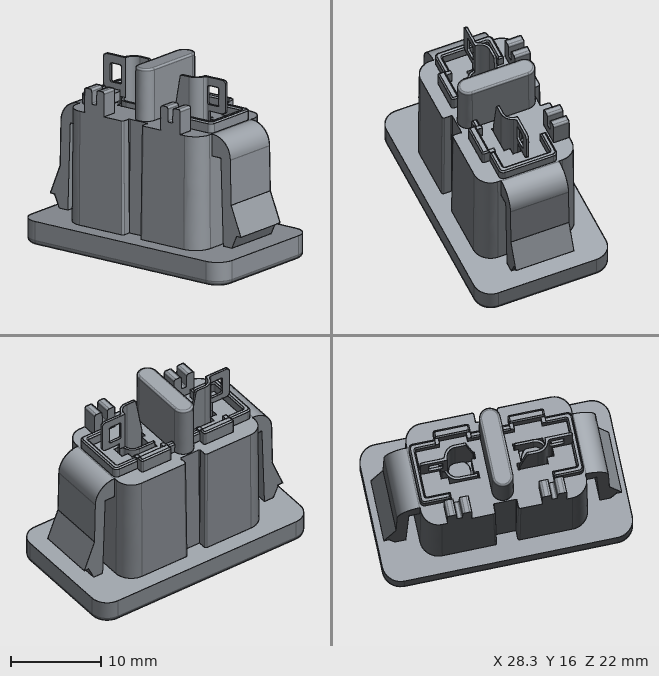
import cadquery as cq
import math

FLANGE_LENGTH = 28.3
FLANGE_WIDTH = 16.0
FLANGE_HEIGHT = 2.77
FLANGE_CORNER = 2.07
FLANGE_EDGE = 0.57

DRAFT = 0.5
BODY_LENGTH = 18.95
BODY_WIDTH = 12.03
BODY_TOP = 15.93
BODY_HEIGHT = BODY_TOP - FLANGE_HEIGHT
BODY_CORNER = 2.1
NOTCH_WIDTH = 2.4
NOTCH_DEPTH = 1.13
NOTCH_CORNER = 0.23

KEY_LENGTH = 9.23
KEY_THICKNESS = 2.4
KEY_TOP = 22.0
KEY_EDGE = 0.23

CLIP_WIDTH = 7.02
CLIP_BEND = 2.55
CLIP_TOP_X = 11.97
CLIP_KNEE = (12.08, 8.18)
CLIP_BARB_Z = 4.73
CLIP_BARB_X = 13.47
CLIP_BARB_ROOT_X = 12.88
CLIP_FOOT_Z = 3.23
CLIP_FOOT_OUTER_X = 12.2
CLIP_FOOT_INNER_X = 10.98
CLIP_ARM_INNER_X = 10.65
CLIP_ROOT_X = 8.77
CLIP_INNER_CORNER = 0.1

RIM_TOP = 17.15
RIM_OUTER_X = 9.25
RIM_BACK_Y = 3.5
RIM_FRONT_Y = -3.42
RIM_WALL = 0.68
RIM_CORNER = 0.55
RIM_INNER_CORNER = 0.17
RIM_END_X = 5.8
RIM_EDGE = 0.17

STOP_OUTER_X = 6.25
STOP_INNER_X = 2.2
STOP_BACK_Y = 4.4
STOP_TOP = 17.6
STOP_LEG_TOP = 17.32
STOP_LEG = STOP_OUTER_X - RIM_END_X
STOP_EDGE = 0.17
STOP_CORNER = 0.23

PRONG_X = 5.38
PRONG_WIDTH = 2.75
PRONG_BACK_Y = -4.0
PRONG_TOP = 18.8
PRONG_EDGE = 0.25
PRONG_SLOT_FLOOR = 17.06
PRONG_SLOT_FLOOR_WIDTH = 0.62
PRONG_SLOT_TOP_WIDTH = 0.74
PRONG_SLOT_CORNER = 0.15

POCKET_DEPTH = 2.25
POCKET_FLOOR = BODY_TOP - POCKET_DEPTH
POCKET_OUTER_X = 5.58
POCKET_INNER_X = 2.18
POCKET_HALF_WIDTH = 1.5
POCKET_STEP_HALF_WIDTH = 0.75
POCKET_STEP_OUTER_X = 6.4
POCKET_STEP_INNER_X = 2.65
PIN_X = 4.15
PIN_RADIUS = 1.27
PIN_HEIGHT = 0.57

SHEET = 0.28
FORK_X = 4.45
FORK_RADIUS = 1.4
FORK_END_X = 2.38
FORK_LOW_TOP = 16.5
FORK_BEND = 0.4
BLADE_OUTER_X = 8.63
BLADE_INNER_X = 3.23
BLADE_TOP = 21.1
BLADE_BOTTOM = 17.2
BLADE_FOOT_X = 6.3
BLADE_OUTER_CORNER = 0.45
BLADE_INNER_CORNER = 0.23
WINDOW_OUTER_X = 7.67
WINDOW_INNER_X = 6.08
WINDOW_TOP = 20.15
WINDOW_BOTTOM = 17.95
WINDOW_CORNER = 0.23


def block(x_range, y_range, z_range):
    """Box spanning the given X, Y and Z ranges."""
    (x0, x1), (y0, y1), (z0, z1) = x_range, y_range, z_range
    return cq.Workplane("XY").box(x1 - x0, y1 - y0, z1 - z0, centered=False).translate((x0, y0, z0))


def front_profile(points, y_min, y_max):
    """Closed XZ outline extruded from y_min to y_max."""
    return cq.Workplane("XZ", origin=(0, y_max, 0)).polyline(points).close().extrude(y_max - y_min)


def mirrored_pair(solid):
    """The given -X solid together with its mirror image on the +X side."""
    return solid.union(solid.mirror("YZ"))


def make_flange():
    return (
        cq.Workplane("XY")
        .box(FLANGE_LENGTH, FLANGE_WIDTH, FLANGE_HEIGHT, centered=(True, True, False))
        .edges("|Z").fillet(FLANGE_CORNER)
        .faces("<Z").edges().fillet(FLANGE_EDGE)
    )


def make_body(height):
    """Drafted housing with a notch in each long side, rising to the given height."""
    notch_y = BODY_WIDTH / 2 - NOTCH_DEPTH / 2
    outline = (
        cq.Sketch()
        .rect(BODY_LENGTH, BODY_WIDTH)
        .vertices().fillet(BODY_CORNER).reset()
        .push([(0, notch_y), (0, -notch_y)])
        .rect(NOTCH_WIDTH, NOTCH_DEPTH, mode="s").reset()
    )
    half_notch = NOTCH_WIDTH / 2 + NOTCH_CORNER
    body = cq.Workplane("XY", origin=(0, 0, FLANGE_HEIGHT)).placeSketch(outline)
    body = body.extrude(height, taper=DRAFT)
    notch_zone = cq.selectors.BoxSelector(
        (-half_notch, -BODY_WIDTH, FLANGE_HEIGHT), (half_notch, BODY_WIDTH, FLANGE_HEIGHT + height)
    )
    upright = body.edges(notch_zone).edges("not #Z").vals()
    return body.newObject(upright).fillet(NOTCH_CORNER)


def make_key():
    return (
        cq.Workplane("XY", origin=(0, 0, BODY_TOP))
        .slot2D(KEY_LENGTH, KEY_THICKNESS, 90)
        .extrude(KEY_TOP - BODY_TOP, taper=DRAFT)
        .faces(">Z").edges().fillet(KEY_EDGE)
    )


def make_clip():
    bend_x = CLIP_TOP_X - CLIP_BEND
    bend_z = BODY_TOP - CLIP_BEND
    diagonal = CLIP_BEND * math.sqrt(0.5)
    return (
        cq.Workplane("XZ")
        .moveTo(-CLIP_ROOT_X, BODY_TOP)
        .lineTo(-bend_x, BODY_TOP)
        .threePointArc((-bend_x - diagonal, bend_z + diagonal), (-CLIP_TOP_X, bend_z))
        .lineTo(-CLIP_KNEE[0], CLIP_KNEE[1])
        .lineTo(-CLIP_BARB_X, CLIP_BARB_Z)
        .lineTo(-CLIP_BARB_ROOT_X, CLIP_BARB_Z)
        .lineTo(-CLIP_FOOT_OUTER_X, CLIP_FOOT_Z)
        .lineTo(-CLIP_FOOT_INNER_X, CLIP_FOOT_Z)
        .lineTo(-CLIP_ARM_INNER_X, bend_z)
        .lineTo(-CLIP_ROOT_X, bend_z)
        .close()
        .extrude(CLIP_WIDTH / 2, both=True)
        .edges(cq.selectors.NearestToPointSelector((-CLIP_ARM_INNER_X, 0, bend_z)))
        .fillet(CLIP_INNER_CORNER)
    )


def make_rim():
    height = (BODY_TOP, RIM_TOP)
    inner_x = RIM_OUTER_X - RIM_WALL
    inner_y = (RIM_FRONT_Y + RIM_WALL, RIM_BACK_Y - RIM_WALL)
    outside = block((-RIM_OUTER_X, -RIM_END_X), (RIM_FRONT_Y, RIM_BACK_Y), height)
    inside = block((-inner_x, -RIM_END_X), inner_y, height)
    outside = outside.edges("|Z and <X").fillet(RIM_CORNER)
    inside = inside.edges("|Z and <X").fillet(RIM_INNER_CORNER)
    bracket = outside.cut(inside).faces(">Z").edges().chamfer(RIM_EDGE)
    joint = block((-STOP_INNER_X - STOP_LEG, 0), (inner_y[1], RIM_BACK_Y), height)
    joint = joint.faces(">Z").edges("|X").chamfer(RIM_EDGE)
    return bracket.union(joint)


def make_stop():
    stop = block((-STOP_OUTER_X, -STOP_INNER_X), (RIM_BACK_Y, STOP_BACK_Y), (BODY_TOP, STOP_TOP))
    stop = stop.edges("|Z and >Y").fillet(STOP_CORNER)
    stop = stop.faces(">Z").edges().chamfer(STOP_EDGE)
    for leg_x in (-STOP_OUTER_X, -STOP_INNER_X - STOP_LEG):
        leg_y = (RIM_BACK_Y - RIM_WALL, RIM_BACK_Y)
        stop = stop.union(block((leg_x, leg_x + STOP_LEG), leg_y, (BODY_TOP, STOP_LEG_TOP)))
    return stop


def make_prong():
    half_width = PRONG_WIDTH / 2
    half_floor = PRONG_SLOT_FLOOR_WIDTH / 2
    half_mouth = PRONG_SLOT_TOP_WIDTH / 2
    outline = [
        (-half_width, BODY_TOP),
        (-half_width, PRONG_TOP),
        (-half_mouth, PRONG_TOP),
        (-half_floor, PRONG_SLOT_FLOOR),
        (half_floor, PRONG_SLOT_FLOOR),
        (half_mouth, PRONG_TOP),
        (half_width, PRONG_TOP),
        (half_width, BODY_TOP),
    ]
    front_y = -BODY_WIDTH / 2
    prong = front_profile(outline, front_y, PRONG_BACK_Y)
    prong = prong.faces(">Z").edges("|Y").fillet(PRONG_EDGE)
    for side in (-1, 1):
        corner = (side * half_floor, (front_y + PRONG_BACK_Y) / 2, PRONG_SLOT_FLOOR)
        prong = prong.edges(cq.selectors.NearestToPointSelector(corner)).fillet(PRONG_SLOT_CORNER)
    return prong.translate((-PRONG_X, 0, 0)).intersect(make_body(PRONG_TOP - FLANGE_HEIGHT))


def make_pocket():
    depth = (POCKET_FLOOR, BODY_TOP)
    full_y = (-POCKET_HALF_WIDTH, POCKET_HALF_WIDTH)
    step_y = (-POCKET_STEP_HALF_WIDTH, POCKET_STEP_HALF_WIDTH)
    pocket = block((-POCKET_OUTER_X, -POCKET_INNER_X), full_y, depth)
    pocket = pocket.cut(block((-POCKET_STEP_INNER_X, -POCKET_INNER_X), step_y, depth))
    return pocket.union(block((-POCKET_STEP_OUTER_X, -POCKET_OUTER_X), step_y, depth))


def make_pin():
    return cq.Workplane("XY", origin=(-PIN_X, 0, POCKET_FLOOR)).circle(PIN_RADIUS).extrude(PIN_HEIGHT)


def make_blade_outline():
    """Side shape of the tall sheet: tab, sloped inner edge and foot in the pocket."""
    outline = [
        (-BLADE_FOOT_X, POCKET_FLOOR),
        (-BLADE_FOOT_X, BLADE_BOTTOM),
        (-BLADE_OUTER_X, BLADE_BOTTOM),
        (-BLADE_OUTER_X, BLADE_TOP),
        (-BLADE_INNER_X, BLADE_TOP),
        (-FORK_END_X, FORK_LOW_TOP),
        (-FORK_END_X, POCKET_FLOOR),
    ]
    blade = front_profile(outline, -SHEET / 2, FORK_RADIUS)
    blade = blade.edges("|Y and <X").fillet(BLADE_OUTER_CORNER)
    inner_corner = (-BLADE_INNER_X, (FORK_RADIUS - SHEET / 2) / 2, BLADE_TOP)
    blade = blade.edges(cq.selectors.NearestToPointSelector(inner_corner)).fillet(BLADE_INNER_CORNER)
    window = block(
        (-WINDOW_OUTER_X, -WINDOW_INNER_X), (-SHEET, SHEET), (WINDOW_BOTTOM, WINDOW_TOP)
    )
    return blade.cut(window.edges("|Y").fillet(WINDOW_CORNER))


def make_terminal():
    """Flat tab that forks into one tall arm (+Y) and one low arm (-Y)."""
    outer, inner = (
        cq.Workplane("XY", origin=(-FORK_X, 0, POCKET_FLOOR))
        .circle(radius).extrude(BLADE_TOP - POCKET_FLOOR)
        .union(block((-FORK_X, -FORK_END_X), (-radius, radius), (POCKET_FLOOR, BLADE_TOP)))
        for radius in (FORK_RADIUS, FORK_RADIUS - SHEET)
    )
    tab = block((-BLADE_OUTER_X, -FORK_X), (-SHEET / 2, SHEET / 2), (POCKET_FLOOR, BLADE_TOP))
    joint_x = -FORK_X - math.sqrt(FORK_RADIUS**2 - (SHEET / 2) ** 2)
    sheet = outer.union(tab)
    for side in (-1, 1):
        joint = (joint_x, side * SHEET / 2, (POCKET_FLOOR + BLADE_TOP) / 2)
        sheet = sheet.edges(cq.selectors.NearestToPointSelector(joint)).fillet(FORK_BEND)
    sheet = sheet.cut(inner)
    low_zone = block(
        (-BLADE_FOOT_X, -FORK_END_X), (-FORK_RADIUS, FORK_RADIUS), (POCKET_FLOOR, FORK_LOW_TOP)
    )
    return sheet.intersect(make_blade_outline().union(low_zone))


terminal = make_terminal()
result = make_flange().union(make_body(BODY_HEIGHT))
result = result.cut(mirrored_pair(make_pocket()))
for feature in (make_clip(), make_rim(), make_stop(), make_prong(), make_pin()):
    result = result.union(mirrored_pair(feature))
for turn in (0, 180):
    result = result.union(terminal.rotate((0, 0, 0), (0, 0, 1), turn))
result = result.union(make_key())